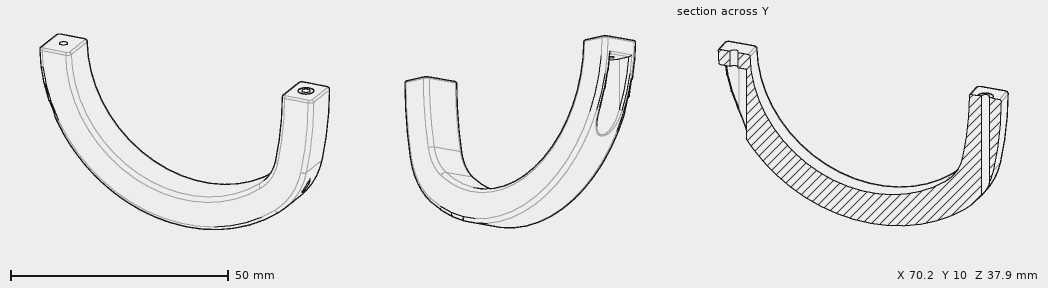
import cadquery as cq
import math

length = 70.25
depth = 10.0
thickness = 8.0
main_radius = 37.9
arm_radius = 91.3
blend_radius = 19.3

side_fillet = 1.0
end_fillet = 0.5
hole_diameter = 1.9
collar_diameter = 3.65
collar_height = 0.1
pocket_diameter = 5.9
pocket_top = -4.0
pocket_fillet = 0.5
edge_margin = 0.35

main_x = main_radius
arm_x = length - arm_radius
left_hole_x = thickness / 2
right_hole_x = length - thickness / 2

to_main = main_radius - blend_radius
to_arm = arm_radius - blend_radius
center_gap = main_x - arm_x
along = (to_arm**2 - to_main**2 + center_gap**2) / (2 * center_gap)
blend_x = arm_x + along
blend_z = -math.sqrt(to_arm**2 - along**2)
main_end = math.atan2(blend_z, blend_x - main_x)
arm_end = math.atan2(blend_z, blend_x - arm_x)


def polar(x, z, radius, angle):
    return (x + radius * math.cos(angle), z + radius * math.sin(angle))


def profile(inset):
    """Solid under Z = 0 bounded by the bow, bend and arm, moved inward by inset."""
    main_r = main_radius - inset
    blend_r = blend_radius - inset
    arm_r = arm_radius - inset
    return (
        cq.Workplane("XZ", origin=(0, depth / 2, 0))
        .moveTo(main_x - main_r, 0)
        .threePointArc(
            polar(main_x, 0, main_r, (main_end - math.pi) / 2),
            polar(main_x, 0, main_r, main_end),
        )
        .threePointArc(
            polar(blend_x, blend_z, blend_r, (main_end + arm_end) / 2),
            polar(blend_x, blend_z, blend_r, arm_end),
        )
        .threePointArc(polar(arm_x, 0, arm_r, arm_end / 2), (arm_x + arm_r, 0))
        .close()
        .extrude(depth)
    )


def vertical_cylinder(x, diameter, top, height):
    return cq.Workplane("XY", origin=(x, 0, top)).circle(diameter / 2).extrude(-height)


def curved_bar():
    """Constant-thickness bar with rounded long edges and rounded end faces."""
    bar = profile(0).cut(profile(thickness))
    right_end = cq.Workplane("XY", origin=(right_hole_x, 0, 0)).rect(2 * thickness, 2 * depth)
    bar = bar.cut(right_end.extrude(-collar_height))
    bar = bar.faces("<Y or >Y").edges("not |X").fillet(side_fillet)
    return bar.faces("+Z").edges().fillet(end_fillet)


def screw_head_pocket():
    """Vertical bore under the left end, open through the outer face."""
    bore = vertical_cylinder(left_hole_x, pocket_diameter, pocket_top, main_radius)
    opening = (
        cq.Workplane("XY", origin=(left_hole_x - thickness / 2, 0, pocket_top))
        .rect(thickness, pocket_diameter)
        .extrude(-main_radius)
    )
    return bore.union(opening)


def round_pocket_mouth(bar):
    """Round the pocket edges that lie on the outer bow surface."""
    half_width = pocket_diameter / 2
    mouth = [
        edge
        for edge in bar.edges().vals()
        if abs(math.hypot(edge.Center().x - main_x, edge.Center().z) - main_radius) < edge_margin
        and abs(edge.Center().y) < half_width + edge_margin
        and edge.Center().z < pocket_top + edge_margin
    ]
    return bar.newObject(mouth).fillet(pocket_fillet)


bar = curved_bar().cut(screw_head_pocket())
bar = round_pocket_mouth(bar)

bar = bar.union(vertical_cylinder(right_hole_x, collar_diameter, 0, thickness / 2))

for hole_x in (left_hole_x, right_hole_x):
    bar = bar.cut(vertical_cylinder(hole_x, hole_diameter, 0, main_radius))

result = bar